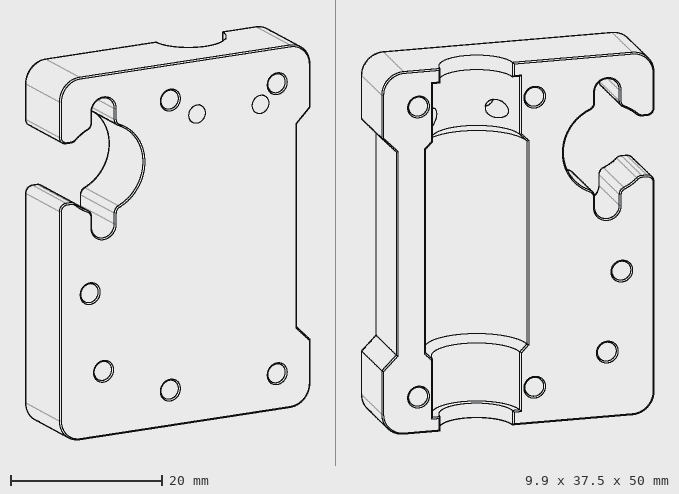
import cadquery as cq

thickness = 9.9
width = 37.5
height = 50.0
corner_radius = 3.0
edge_chamfer = 0.2
front_x = -thickness / 2

relief_depth = 2.0
relief_half_length = 16.0

bore_y = 5.75
bore_axis_x = front_x - 0.05
lip_radius = 5.0
seat_radius = 6.0
body_radius = 7.0
seat_half_length = 23.0
cone_half_length = 15.0
body_half_length = cone_half_length - (body_radius - seat_radius)

screw_diameter = 2.6
screw_offset_y = 8.0
screw_offset_z = 20.0
extra_screws = [(-14.25, -5.0), (-12.25, -16.0)]

key_y = -12.25
key_z = 12.0
key_radius = 6.0
key_slot_width = 3.4
key_slot_length = 19.3
mouth_half_height = 4.1
key_corner_radius = 1.0

wire_diameter = 2.5
wire_z = 17.5
wire_hole_depth = 7.95
wire_hole_ys = (1.75, 11.25)


def prism(sketch):
    """Extrude a YZ outline drawn around X = 0 through the whole thickness."""
    return sketch.extrude(thickness / 2, both=True)


def yz_plane(y=0.0, z=0.0):
    return cq.Workplane("YZ").center(y, z)


def edges_along_x(body, points, reach=0.15):
    """Edges parallel to X that pass through the given (y, z) points."""
    def passes_through_a_point(edge):
        center = edge.Center()
        return any(abs(center.y - y) < reach and abs(center.z - z) < reach for y, z in points)

    return body.edges("|X").filter(passes_through_a_point)


def make_plate():
    plate = prism(yz_plane().rect(width, height)).edges("|X").fillet(corner_radius)
    side = width / 2
    relief = yz_plane().polyline([
        (side, relief_half_length),
        (side - relief_depth, relief_half_length - relief_depth),
        (side - relief_depth, relief_depth - relief_half_length),
        (side, -relief_half_length),
    ]).close()
    return plate.cut(prism(relief))


def cut_keyhole(body):
    body = body.cut(prism(yz_plane(key_y, key_z).circle(key_radius)))
    body = body.cut(prism(yz_plane(key_y, key_z).slot2D(key_slot_length, key_slot_width, 90)))
    mouth_length = key_y + width / 2
    mouth = yz_plane(key_y - mouth_length / 2, key_z).rect(mouth_length, 2 * mouth_half_height)
    body = body.cut(prism(mouth))

    slot_y = key_slot_width / 2
    slot_z = (key_radius ** 2 - slot_y ** 2) ** 0.5
    mouth_y = (key_radius ** 2 - mouth_half_height ** 2) ** 0.5
    signs = (1, -1)
    slot_corners = [(key_y + i * slot_y, key_z + j * slot_z) for i in signs for j in signs]
    mouth_corners = [(key_y - mouth_y, key_z + j * mouth_half_height) for j in signs]
    edge_corners = [(-width / 2, key_z + j * mouth_half_height) for j in signs]

    for corners in (slot_corners, mouth_corners, edge_corners):
        body = edges_along_x(body, corners).fillet(key_corner_radius)
    return body


def cut_screw_holes(body):
    points = [
        (bore_y + i * screw_offset_y, j * screw_offset_z)
        for i in (1, -1)
        for j in (1, -1)
    ]
    holes = yz_plane().pushPoints(points + extra_screws).circle(screw_diameter / 2)
    return body.cut(prism(holes))


def make_bore():
    half_profile = [
        (0, height / 2),
        (lip_radius, height / 2),
        (lip_radius, seat_half_length),
        (seat_radius, seat_half_length),
        (seat_radius, cone_half_length),
        (body_radius, body_half_length),
    ]
    profile = half_profile + [(r, -z) for r, z in reversed(half_profile)]
    bore = cq.Workplane("XZ").polyline(profile).close().revolve(360, (0, 0), (0, 1))
    return bore.translate((bore_axis_x, bore_y, 0))


def cut_wire_holes(body):
    back = cq.Workplane("YZ", origin=(thickness / 2, 0, 0))
    holes = back.pushPoints([(y, wire_z) for y in wire_hole_ys]).circle(wire_diameter / 2)
    return body.cut(holes.extrude(-wire_hole_depth))


plate = cut_screw_holes(cut_keyhole(make_plate())).cut(make_bore())
plate = plate.faces("<X or >X").edges().chamfer(edge_chamfer)
result = cut_wire_holes(plate)